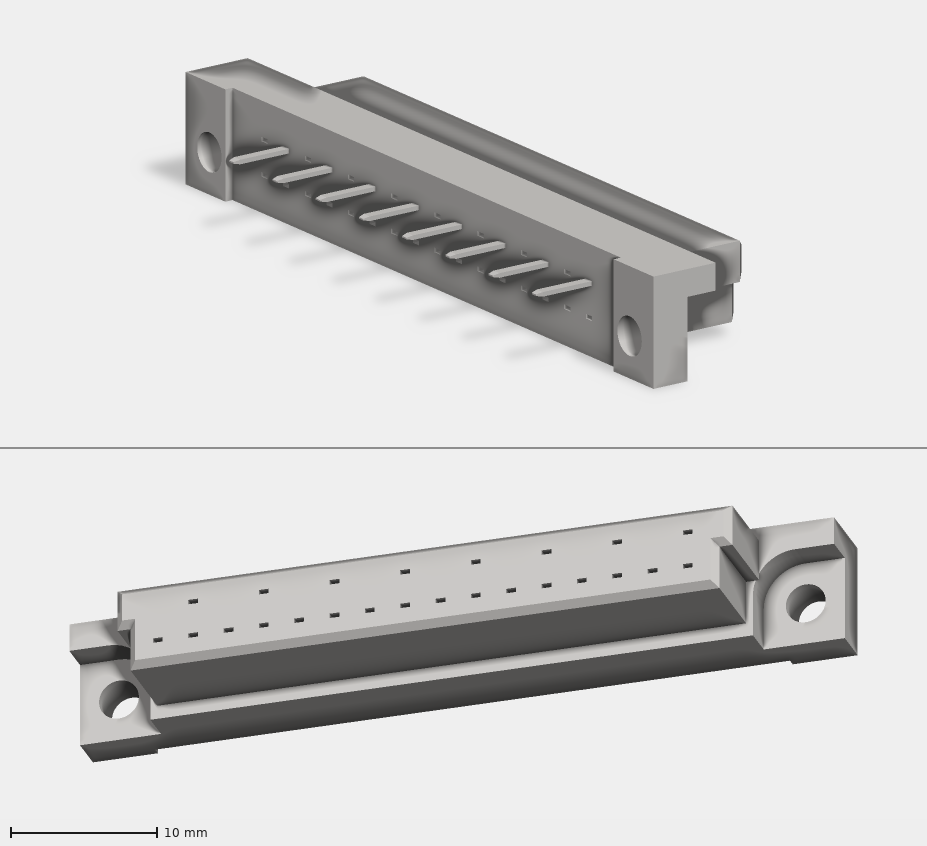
import cadquery as cq
import math


flange_length = 55.0
flange_height = 8.1
flange_depth = 5.2
pad_length = 4.7
pad_rise = 0.6

hole_diameter = 2.85
hole_inset = 2.8
hole_drop = 1.0
pocket_radius = 3.0
pocket_depth = 2.35

nose_depth = 6.4
nose_height = 6.1
upper_nose_length = 44.2
key_step = 0.95
upper_nose_height = 2.95
nose_chamfer = 0.5

slot_count = 16
column_span = 38.1
slot_width = 0.7
slot_height = 0.35
pin_reach = 4.0
tip_length = 0.5
tip_inset = 0.1
first_pin_column = 1
pin_column_step = 2

pitch = column_span / (slot_count - 1)
terminal_face = pad_rise - flange_depth
nose_top = nose_height / 2
key_level = nose_top - upper_nose_height
pin_tip = -flange_depth - pin_reach
upper_row = pitch / 2
columns = [(i - (slot_count - 1) / 2) * pitch for i in range(slot_count)]
pin_columns = columns[first_pin_column::pin_column_step]


def box(x_range, y_range, z_range):
    """Axis-aligned block between the given limits."""
    (x0, x1), (y0, y1), (z0, z1) = x_range, y_range, z_range
    return cq.Workplane("XY").box(x1 - x0, y1 - y0, z1 - z0, centered=False).translate((x0, y0, z0))


def make_flange():
    half_length = flange_length / 2
    half_height = flange_height / 2
    recess_end = half_length - pad_length
    flange = box((-half_length, half_length), (-flange_depth, 0), (-half_height, half_height))
    recess = box((-recess_end, recess_end), (-flange_depth, terminal_face), (-half_height, half_height))
    return flange.cut(recess)


def make_nose():
    upper_half = upper_nose_length / 2
    lower_half = upper_half - key_step
    outline = [
        (-upper_half, nose_top),
        (upper_half, nose_top),
        (upper_half, key_level),
        (lower_half, key_level),
        (lower_half, -nose_top),
        (-lower_half, -nose_top),
        (-lower_half, key_level),
        (-upper_half, key_level),
    ]
    nose = cq.Workplane("XZ").polyline(outline).close().extrude(-nose_depth)
    return nose.faces(">Y").chamfer(nose_chamfer)


def make_corner_pocket():
    """Pocket behind the -X mounting hole, open to the end, the underside and the back."""
    end = -flange_length / 2
    axis_x = end + hole_inset
    wall_x = axis_x + pocket_radius
    roof = pocket_radius - hole_drop
    bottom = -flange_height / 2
    diagonal = pocket_radius * math.sqrt(0.5)
    return (
        cq.Workplane("XZ")
        .moveTo(end, bottom)
        .lineTo(wall_x, bottom)
        .lineTo(wall_x, -hole_drop)
        .threePointArc((axis_x + diagonal, diagonal - hole_drop), (axis_x, roof))
        .lineTo(end, roof)
        .close()
        .extrude(pocket_depth)
    )


def make_mounting_holes():
    axis_x = flange_length / 2 - hole_inset
    return (
        cq.Workplane("XZ")
        .pushPoints([(-axis_x, -hole_drop), (axis_x, -hole_drop)])
        .circle(hole_diameter / 2)
        .extrude(flange_depth)
    )


def make_slots():
    """Through slots in two rows, running the whole depth of the housing."""
    places = [(x, z) for x in columns for z in (-upper_row, upper_row)]
    return (
        cq.Workplane("XZ", origin=(0, nose_depth, 0))
        .pushPoints(places)
        .rect(slot_width, slot_height)
        .extrude(nose_depth + flange_depth)
    )


def make_housing():
    pocket = make_corner_pocket()
    flange = make_flange().cut(pocket).cut(pocket.mirror("YZ")).cut(make_mounting_holes())
    return flange.union(make_nose()).cut(make_slots())


def make_pin(x):
    """Flat pin filling its slot, with its tip tapered on all four sides."""
    shaft_end = pin_tip + tip_length
    taper_angle = math.degrees(math.atan(tip_inset / tip_length))
    shaft = (
        cq.Workplane("XZ", origin=(x, nose_depth, upper_row))
        .rect(slot_width, slot_height)
        .extrude(nose_depth - shaft_end)
    )
    tip = (
        cq.Workplane("XZ", origin=(x, shaft_end, upper_row))
        .rect(slot_width, slot_height)
        .extrude(tip_length, taper=taper_angle)
    )
    return shaft.union(tip)


housing = make_housing()
pins = [make_pin(x) for x in pin_columns]

result = cq.Compound.makeCompound([housing.val(), *[pin.val() for pin in pins]])